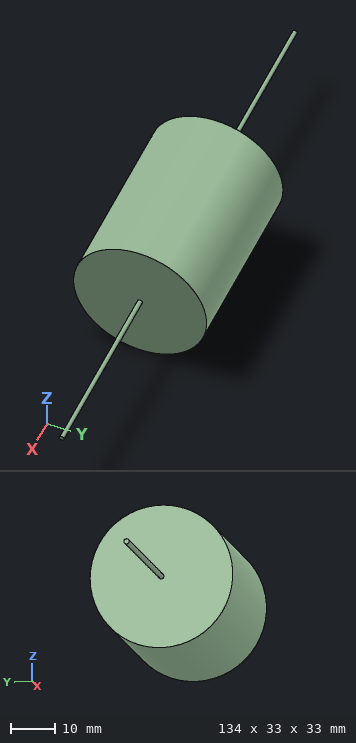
import cadquery as cq

lead_length = 134.0
lead_diameter = 1.2
case_length = 44.0
case_diameter = 33.0


def x_cylinder(diameter, length):
    """Round bar along X, centred on the origin."""
    return cq.Workplane("YZ", origin=(-length / 2, 0, 0)).circle(diameter / 2).extrude(length)


def make_lead():
    """Wire that runs through the case and sticks out equally at both ends."""
    return x_cylinder(lead_diameter, lead_length)


def make_case():
    """Round case with a through bore that fits the lead."""
    bore = x_cylinder(lead_diameter, case_length)
    return x_cylinder(case_diameter, case_length).cut(bore)


case = make_case()
lead = make_lead()

result = cq.Compound.makeCompound([case.val(), lead.val()])